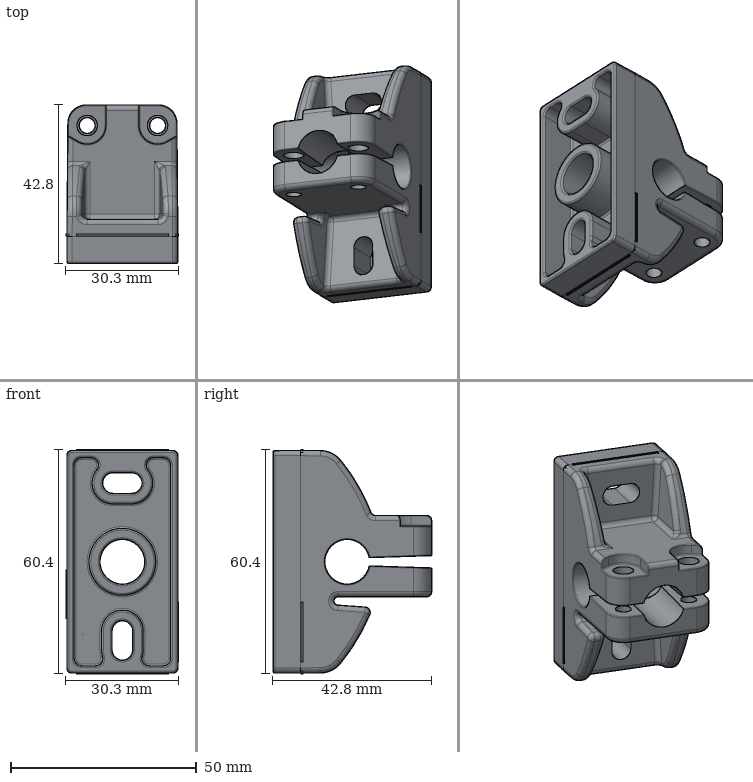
import cadquery as cq
import math


overall_width = 30.3
overall_height = 60.4
strip_rise = 0.2
base_width = overall_width - 2 * strip_rise
base_height = overall_height - 2 * strip_rise
depth = 42.75
parting_y = 7.35
draft = 0.5
edge_round = 1.45
small_round = 0.5
fine_round = 0.25
margin = 0.05

arm_top = 12.5
arm_bottom = -9.5
arm_corner_radius = 5.0
bore_radius = 6.01
cross_bore_y = 20.0
slit_half_start = 1.1
slit_half_end = 1.65

screw_x = 9.5
screw_y = 37.2
screw_clear_radius = 2.75
screw_core_radius = 2.1
seat_z = 9.65
seat_radius = 5.0
seat_flare = 30

flank_start_y = 15.95
flank_mid = (22.45, 21.25)
flank_foot = (26.7, 12.5)
shoulder_radius = 7.1
foot_radius = 1.2
notch_y = 17.5
notch_radius = 1.1
ear_tip = (26.9, -12.3)
ear_tip_round = 1.5

pocket_y = 11.95
pocket_half_floor = 10.0
pocket_round = 1.4
pocket_slope = 3.3

cavity_depth = 10.15
cavity_half_width = 13.0
cavity_half_height = 28.0
cavity_corner = 2.0
tube_radius = 9.0
slot_z = 21.2
slot_half_straight = 2.55
slot_radius = 2.75
boss_radius = 5.6

band_y = 7.5
band_thickness = 0.55
band_inset = 0.6
band_width = 0.7
end_strip_half = 12.4
left_strip_z = (-15.2, -2.2)
right_strip_z = (-26.95, -10.9)


def taper(length):
    """Loss of half width at a distance from the parting line."""
    return length * math.tan(math.radians(draft))


def arc_point(center, radius, angle):
    a = math.radians(angle)
    return (center[0] + radius * math.cos(a), center[1] + radius * math.sin(a))


def mirrored(half):
    """Range reaching equally far to both sides of zero."""
    return (-half, half)


def zone(x_range, y_range, z_range):
    """Selector for the edges whose centres lie within three coordinate ranges."""
    return cq.selectors.BoxSelector(*zip(x_range, y_range, z_range))


def near(y, z):
    """Selector for the edge along X that passes closest to (y, z)."""
    return cq.selectors.NearestToPointSelector((0, y, z))


def side_profile():
    """Outline in the YZ plane, extruded across the full width, with its corners rounded."""
    half = base_height / 2
    front = half - taper(parting_y)
    shoulder_z = half - taper(flank_start_y - parting_y)
    notch_low = arm_bottom - 2 * notch_radius
    outline = cq.Workplane("YZ").moveTo(0, -front).lineTo(0, front).lineTo(parting_y, half)
    outline = outline.lineTo(flank_start_y, shoulder_z).threePointArc(flank_mid, flank_foot)
    outline = (
        outline.lineTo(depth, arm_top)
        .lineTo(depth, arm_bottom)
        .lineTo(notch_y, arm_bottom)
        .threePointArc((notch_y - notch_radius, arm_bottom - notch_radius), (notch_y, notch_low))
        .lineTo(*ear_tip)
        .threePointArc((flank_mid[0], -flank_mid[1]), (flank_start_y, -shoulder_z))
        .lineTo(parting_y, -half)
        .close()
    )
    solid = outline.extrude(base_width, both=True)
    for sign in (1, -1):
        solid = solid.edges(near(flank_start_y, sign * shoulder_z)).fillet(shoulder_radius)
    solid = solid.edges(near(*flank_foot)).fillet(foot_radius)
    return solid.edges(near(*ear_tip)).fillet(ear_tip_round)


def plan_outline():
    """Tapered outline in the XY plane of everything behind the parting line."""
    half = base_width / 2
    end = half - taper(depth - parting_y)
    return (
        cq.Workplane("XY")
        .polyline([(-half, parting_y), (-end, depth), (end, depth), (half, parting_y)])
        .close()
        .extrude(base_height, both=True)
        .edges("|Z and >Y")
        .fillet(arm_corner_radius)
    )


def rear_block():
    """Arm and ears as one block, its long outer edges rounded."""
    block = side_profile().intersect(plan_outline())
    behind_parting = zone(mirrored(base_width), (parting_y + margin, depth + margin), mirrored(base_height))
    across = zone(mirrored(base_width / 2 - edge_round), (parting_y, depth - margin), mirrored(base_height))
    arm_corners = zone(
        mirrored(base_width), (depth - arm_corner_radius - margin, depth + margin), mirrored(-arm_bottom - margin)
    )
    return block.edges(behind_parting - across - arm_corners).fillet(edge_round)


def base_block():
    """Tapered base between the mounting face and the parting line."""
    return (
        cq.Workplane("XZ", origin=(0, parting_y, 0))
        .sketch()
        .rect(base_width, base_height)
        .vertices()
        .fillet(edge_round)
        .finalize()
        .extrude(parting_y, taper=draft)
        .faces("<Y")
        .edges()
        .fillet(small_round)
    )


def ear_pocket(floor_z, direction):
    """Cutter for the space between two ears; direction is +1 (up) or -1 (down)."""
    height = base_height
    half_far = pocket_half_floor + height * math.tan(math.radians(pocket_slope))
    far_z = floor_z + direction * height
    return (
        cq.Workplane("XZ", origin=(0, pocket_y, 0))
        .polyline([
            (-pocket_half_floor, floor_z), (pocket_half_floor, floor_z), (half_far, far_z), (-half_far, far_z)
        ])
        .close()
        .extrude(-depth)
        .edges("<Y or " + ("<Z" if direction > 0 else ">Z"))
        .fillet(pocket_round)
    )


def cut_ear_pocket(block, floor_z, direction):
    """Sink the pocket and round the rims that it leaves on the ears and the base side."""
    half = base_width / 2 - edge_round
    past_corner_y = pocket_y + pocket_round + 2 * margin
    far_z = direction * base_height
    near_top_z = direction * (base_height / 2 - edge_round)
    ear_rims = zone(mirrored(half), (past_corner_y, depth), (floor_z + direction * margin, far_z))
    base_rim = zone(mirrored(half), (parting_y + edge_round, past_corner_y), (near_top_z, far_z))
    return block.cut(ear_pocket(floor_z, direction)).edges(ear_rims + base_rim).fillet(edge_round)


def cavity_outline():
    """Mounting cavity in the XZ plane: its end pockets curl around the two slot bosses."""
    reach = boss_radius + cavity_corner
    end_z = cavity_half_height - cavity_corner
    side_x = cavity_half_width - cavity_corner
    upper_end_x = slot_half_straight + math.sqrt(reach ** 2 - (end_z - slot_z) ** 2)
    lower_boss_z = -slot_z - slot_half_straight
    lower_end_x = math.sqrt(reach ** 2 - (lower_boss_z + end_z) ** 2)
    upper_angle = math.degrees(math.atan2(end_z - slot_z, upper_end_x - slot_half_straight))
    lower_angle = math.degrees(math.atan2(-end_z - lower_boss_z, lower_end_x))
    upper_boss = (slot_half_straight, slot_z)
    lower_boss = (0, lower_boss_z)
    upper_end = (upper_end_x, end_z)
    lower_end = (lower_end_x, -end_z)
    right = [
        (upper_boss, boss_radius, -90, upper_angle),
        (upper_end, cavity_corner, 180 + upper_angle, 90),
        ((side_x, end_z), cavity_corner, 90, 0),
        ((side_x, -end_z), cavity_corner, 0, -90),
        (lower_end, cavity_corner, -90, -180 + lower_angle),
        (lower_boss, boss_radius, lower_angle, 0),
        ((0, -slot_z + slot_half_straight), boss_radius, 0, 90),
    ]
    left = [((-c[0], c[1]), r, 180 - last, 180 - first) for c, r, first, last in reversed(right)]
    outline = cq.Workplane("XZ").moveTo(*arc_point(*right[0][:3]))
    position = arc_point(*right[0][:3])
    for center, radius, first, last in right + left:
        start = arc_point(center, radius, first)
        if math.dist(position, start) > 0.0005:
            outline = outline.lineTo(*start)
        position = arc_point(center, radius, last)
        outline = outline.threePointArc(arc_point(center, radius, (first + last) / 2), position)
    return outline.close()


def mounting_cavity():
    """Cutter for the cavity: sharp rim, rounded floor, the central tube left standing."""
    tube = cq.Workplane("XZ").circle(tube_radius).extrude(-cavity_depth)
    return cavity_outline().extrude(-cavity_depth).cut(tube).faces(">Y").edges().fillet(small_round)


def slot_cutter(z, angle):
    return (
        cq.Workplane("XZ", origin=(0, 0, z))
        .slot2D(2 * (slot_half_straight + slot_radius), 2 * slot_radius, angle)
        .extrude(-(pocket_y + edge_round))
    )


def bore_cutter():
    """Lengthwise bore, open at both ends."""
    return cq.Workplane("XZ").circle(bore_radius).extrude(-depth)


def clamp_cutter():
    """Cross bore and the widening slit that opens it to the arm end."""
    bore = cq.Workplane("YZ").center(cross_bore_y, 0).circle(bore_radius).extrude(base_width, both=True)
    mouth_y = cross_bore_y + math.sqrt(bore_radius ** 2 - slit_half_start ** 2)
    slit = (
        cq.Workplane("YZ")
        .polyline([
            (cross_bore_y, 0),
            (mouth_y, -slit_half_start),
            (depth, -slit_half_end),
            (depth, slit_half_end),
            (mouth_y, slit_half_start),
        ])
        .close()
        .extrude(base_width, both=True)
    )
    return bore.union(slit)


def screw_seat(side):
    """Cutter for the sunken seat of one clamp screw, open to the arm end and its outer side."""
    center = (side * screw_x, screw_y)
    inner_x = side * (screw_x - seat_radius)
    outer_x = side * base_width
    far_y = depth + seat_radius
    tangent = arc_point(center, seat_radius, -90 + side * seat_flare)
    outer_y = tangent[1] + (base_width - abs(tangent[0])) * math.tan(math.radians(seat_flare))
    middle = arc_point(center, seat_radius, -90 + side * (seat_flare - 90) / 2)
    return (
        cq.Workplane("XY", origin=(0, 0, seat_z))
        .moveTo(inner_x, far_y)
        .lineTo(inner_x, screw_y)
        .threePointArc(middle, tangent)
        .lineTo(outer_x, outer_y)
        .lineTo(outer_x, far_y)
        .close()
        .extrude(arm_top)
        .faces("<Z")
        .edges()
        .fillet(fine_round)
    )


def screw_hole(side):
    """Clearance through the upper jaw, core diameter through the lower jaw."""
    start = cq.Workplane("XY", origin=(side * screw_x, screw_y, 0))
    return start.circle(screw_clear_radius).extrude(arm_top).union(
        start.circle(screw_core_radius).extrude(arm_bottom)
    )


def ring_slab(inset):
    """Rectangular slab of band thickness, set in from the housing sides at the parting line."""
    return (
        cq.Workplane("XZ", origin=(0, band_y, 0))
        .rect(base_width - 2 * inset, base_height - 2 * inset)
        .extrude(-band_thickness)
    )


def strip(x_range, z_range):
    """Block of band thickness spanning the given X and Z ranges."""
    size_x = x_range[1] - x_range[0]
    size_z = z_range[1] - z_range[0]
    return cq.Workplane("XY", origin=(x_range[0], band_y, z_range[0])).box(
        size_x, band_thickness, size_z, centered=False
    )


def insert_band():
    """Closed ring inside the base walls, with one strip reaching out through each side."""
    side_x = base_width / 2 - band_inset
    end_z = base_height / 2 - band_inset
    band = ring_slab(band_inset).cut(ring_slab(band_inset + band_width))
    end_x = (-end_strip_half, end_strip_half)
    return (
        band.union(strip(end_x, (end_z, overall_height / 2)))
        .union(strip(end_x, (-overall_height / 2, -end_z)))
        .union(strip((-overall_width / 2, -side_x), left_strip_z))
        .union(strip((side_x, overall_width / 2), right_strip_z))
    )


def cut_mounting_side(block):
    """Cavity, slots and lengthwise bore, with every rim on the mounting face rounded."""
    block = block.cut(mounting_cavity()).cut(bore_cutter())
    block = block.cut(slot_cutter(slot_z, 0)).cut(slot_cutter(-slot_z, 90))
    rims = zone(mirrored(cavity_half_width + margin), mirrored(margin), mirrored(cavity_half_height + margin))
    return block.edges(rims).fillet(small_round)


def cut_clamp(block):
    """Cross bore and slit, with their rims on both sides and round the arm end rounded."""
    block = block.cut(clamp_cutter())
    rim_z = mirrored(slit_half_end + margin)
    rims = zone(mirrored(base_width), (cross_bore_y - bore_radius, depth + margin), rim_z)
    interior = zone(mirrored(base_width / 2 - small_round), (0, depth - margin), rim_z)
    return block.edges(rims - interior).fillet(fine_round)


def cut_screw(block, side):
    """Seat and hole of one clamp screw; the seat's top rim is rounded."""
    block = block.cut(screw_seat(side)).cut(screw_hole(side))
    x_range = sorted((side * (screw_x - seat_radius - 0.6), side * base_width / 2))
    top_rim = zone(x_range, (screw_y - seat_radius - 0.6, depth - edge_round + 0.6), (arm_top - margin, arm_top + margin))
    return block.edges(top_rim).fillet(fine_round)


housing = rear_block().union(base_block())
housing = cut_ear_pocket(housing, arm_top, 1)
housing = cut_ear_pocket(housing, arm_bottom, -1)
housing = cut_mounting_side(housing)
housing = cut_clamp(housing)
for side in (-1, 1):
    housing = cut_screw(housing, side)

insert = insert_band()
housing = housing.cut(insert)

result = cq.Compound.makeCompound([housing.val(), insert.val()])